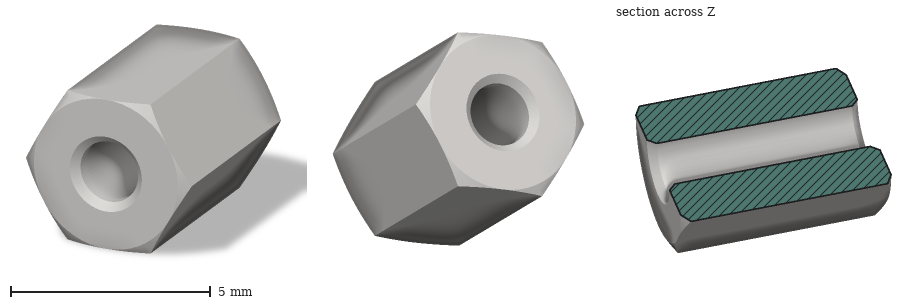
import cadquery as cq
import math

length = 5.5
across_flats = 4.0
hole_diameter = 1.6
countersink_diameter = 2.0
corner_chamfer_angle = 30.0

across_corners = across_flats / math.cos(math.radians(30))
half_length = length / 2
countersink_depth = (countersink_diameter - hole_diameter) / 2


def revolve_about_y(half_profile):
    """Revolve a closed (radius, y) outline about the Y axis."""
    outline = cq.Workplane("XY").polyline(half_profile).close()
    return outline.revolve(360, (0, 0, 0), (0, 1, 0))


def hexagonal_bar():
    """Bar along Y with corners on +X and -X and flats on +Z and -Z."""
    return cq.Workplane("XZ").polygon(6, across_corners).extrude(half_length, both=True)


def corner_chamfer_envelope():
    """Round body whose conical ends meet the end faces at the flats' inscribed circle."""
    face_radius = across_flats / 2
    outer_radius = across_corners
    cone_height = (outer_radius - face_radius) * math.tan(math.radians(corner_chamfer_angle))
    cone_base = half_length - cone_height
    return revolve_about_y([
        (0, -half_length),
        (face_radius, -half_length),
        (outer_radius, -cone_base),
        (outer_radius, cone_base),
        (face_radius, half_length),
        (0, half_length),
    ])


def countersunk_hole():
    """Through hole with the same countersink at both ends."""
    hole_radius = hole_diameter / 2
    mouth_radius = countersink_diameter / 2
    countersink_bottom = half_length - countersink_depth
    return revolve_about_y([
        (0, -half_length),
        (mouth_radius, -half_length),
        (hole_radius, -countersink_bottom),
        (hole_radius, countersink_bottom),
        (mouth_radius, half_length),
        (0, half_length),
    ])


result = hexagonal_bar().intersect(corner_chamfer_envelope()).cut(countersunk_hole())